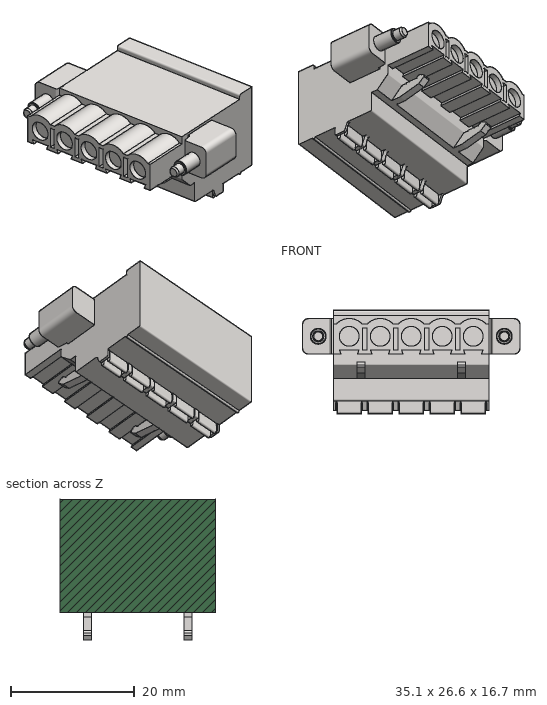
import cadquery as cq


pole_count = 5
overall_width = 35.1
body_width = 25.1
half_body = body_width / 2
ear_reach = (overall_width - body_width) / 2
pole_pitch = ear_reach
screw_offset = (pole_count + 1) / 2 * pole_pitch

housing_back = 18.32
housing_top = 3.35
housing_bottom = -10.45
ridge_top = 4.2
ridge_length = 3.2
ridge_round = 0.35
front_face_bottom = -4.65
shelf_height = -6.8
lower_front = 3.35
front_round = 0.25
bottom_round = 0.28

socket_length = 8.3
socket_radius = 2.88
valley_height = 2.0
contact_hole_diameter = 3.2
contact_hole_depth = 1.0
slot_width = 0.77
slot_top = 1.35
slot_bottom = -2.18
dovetail_top = slot_bottom
dovetail_wide = 3.15
dovetail_narrow = 2.65

ear_length = 7.75
ear_round = 1.0
notch_depth = 1.65
notch_front_gap = 0.6
notch_root_gap = 0.3
notch_mouth_round = 0.2
screw_diameter = 2.55
screw_length = 3.6
screw_chamfer = 0.1
tip_diameter = 1.8
tip_end = 5.35
tip_chamfer_length = 0.35
tip_chamfer_depth = 0.18

hook_width = 1.35
hook_offset = 8.1
hook_root = 2.65
hook_bend = 0.45
hook_relief = -0.75
hook_relief_top = -4.7
hook_arm_top = -4.6
hook_catch_root = -2.88
hook_crest_back = -3.3
hook_crest_front = -3.7
hook_crest = -4.18
hook_nose = -3.37
hook_nose_bottom = -5.9
hook_tip = -4.42
hook_tip_top = -4.65
hook_tip_bottom = -4.95

foot_width = 0.8
foot_bottom = -12.0
foot_back = 10.85
foot_front = 8.3
foot_taper = 0.6
foot_round = 0.25
foot_root_round = 0.35
foot_anchor = 0.7
wall_width = 3.93
wall_thickness = 0.6
wall_bottom = -12.5
wall_center_ys = (9.05, 10.45)
bead_y = 15.15
bead_radius = 0.28

pole_centers = [(i - (pole_count - 1) / 2) * pole_pitch for i in range(pole_count)]
pole_boundaries = [x + pole_pitch / 2 for x in pole_centers[:-1]]


def box(x_range, y_range, z_range):
    """Box spanning the given (min, max) ranges."""
    spans = (x_range, y_range, z_range)
    size = [high - low for low, high in spans]
    return cq.Workplane("XY").box(*size, centered=False).translate([low for low, high in spans])


def extrude_along_x(points, x_min, x_max):
    """Extrude a closed (y, z) outline between two X positions."""
    return cq.Workplane("YZ").workplane(offset=x_min).polyline(points).close().extrude(x_max - x_min)


def cylinder_along_y(x, diameter, y_min, y_max):
    """Cylinder parallel to Y on the contact axis height."""
    plane = cq.Workplane("XZ", origin=(x, y_max, 0))
    return plane.circle(diameter / 2).extrude(y_max - y_min)


def make_housing():
    ridge_front = housing_back - ridge_length
    slope_end = front_face_bottom - shelf_height
    outline = [
        (0, housing_top),
        (ridge_front, housing_top),
        (ridge_front, ridge_top),
        (housing_back, ridge_top),
        (housing_back, housing_bottom),
        (lower_front, housing_bottom),
        (lower_front, shelf_height),
        (slope_end, shelf_height),
        (0, front_face_bottom),
    ]
    housing = extrude_along_x(outline, -half_body, half_body)

    def round_edge(solid, y, z, radius):
        return solid.edges(cq.NearestToPointSelector((0, y, z))).fillet(radius)

    housing = round_edge(housing, ridge_front, ridge_top, ridge_round)
    housing = round_edge(housing, 0, front_face_bottom, front_round)
    housing = round_edge(housing, lower_front, housing_bottom, bottom_round)
    return round_edge(housing, housing_back, housing_bottom, bottom_round)


def make_sockets():
    sockets = box((-half_body, half_body), (-socket_length, 0), (-socket_radius, valley_height))
    envelope = box((-half_body, half_body), (-socket_length, 0), (-socket_radius, socket_radius))
    for x in pole_centers:
        barrel = cylinder_along_y(x, 2 * socket_radius, -socket_length, 0)
        sockets = sockets.union(barrel.intersect(envelope))
    for x in pole_centers:
        hole = cylinder_along_y(x, contact_hole_diameter, -socket_length, contact_hole_depth - socket_length)
        dovetail = (
            cq.Workplane("XZ", origin=(x, 0, 0))
            .polyline([
                (-dovetail_wide / 2, dovetail_top),
                (dovetail_wide / 2, dovetail_top),
                (dovetail_narrow / 2, -socket_radius),
                (-dovetail_narrow / 2, -socket_radius),
            ])
            .close()
            .extrude(socket_length)
        )
        sockets = sockets.cut(hole).cut(dovetail)
    for x in pole_boundaries:
        slot_sides = (x - slot_width / 2, x + slot_width / 2)
        sockets = sockets.cut(box(slot_sides, (-socket_length, 0), (slot_bottom, slot_top)))
    return sockets


def make_right_ear():
    """Ear block with rounded outer edges, a notch beside the housing, and a stepped screw end."""
    half_width = overall_width / 2
    ear = box((half_body, half_width), (0, ear_length), (-socket_radius, socket_radius))
    ear = ear.edges("|Y and >X").fillet(ear_round)
    notch = (
        cq.Workplane("XY", origin=(half_body, 0, -socket_radius))
        .polyline([
            (0, 0),
            (notch_front_gap, 0),
            (notch_root_gap, notch_depth),
            (0, notch_depth),
        ])
        .close()
        .extrude(2 * socket_radius)
    )
    shank = cylinder_along_y(screw_offset, screw_diameter, -screw_length, 0)
    shank = shank.faces("<Y").chamfer(screw_chamfer)
    tip = cylinder_along_y(screw_offset, tip_diameter, -tip_end, 0)
    tip = tip.faces("<Y").chamfer(tip_chamfer_length, tip_chamfer_depth)
    mouth_edge = cq.NearestToPointSelector((half_body + notch_front_gap, 0, 0))
    ear = ear.cut(notch).edges(mouth_edge).fillet(notch_mouth_round)
    return ear.union(shank).union(tip)


def make_hook(x):
    """Latch arm growing from the sloped face, with a raised catch at its end."""
    outline = [
        (hook_root, shelf_height),
        (hook_bend, shelf_height),
        (hook_nose, hook_nose_bottom),
        (hook_tip, hook_tip_bottom),
        (hook_tip, hook_tip_top),
        (hook_crest_front, hook_crest),
        (hook_crest_back, hook_crest),
        (hook_catch_root, hook_arm_top),
        (hook_relief, hook_arm_top),
        (hook_relief, hook_relief_top),
        (hook_root, hook_relief_top),
    ]
    return extrude_along_x(outline, x - hook_width / 2, x + hook_width / 2)


def make_foot(x_min, x_max):
    """Tapered foot with a filleted root, anchored inside the housing."""
    anchor_top = housing_bottom + foot_anchor
    anchor_front = foot_front - foot_anchor
    outline = [
        (foot_back, anchor_top),
        (foot_back, foot_bottom),
        (foot_front + foot_taper, foot_bottom),
        (foot_front, housing_bottom),
        (anchor_front, housing_bottom),
        (anchor_front, anchor_top),
    ]
    foot = extrude_along_x(outline, x_min, x_max)
    foot = foot.edges("|X and <Z").fillet(foot_round)
    root_edge = cq.NearestToPointSelector(((x_min + x_max) / 2, foot_front, housing_bottom))
    return foot.edges(root_edge).fillet(foot_root_round)


def make_clamp_wall(x, y):
    """Thin wall with a fully rounded lower edge."""
    radius = wall_thickness / 2
    return (
        cq.Workplane("YZ", origin=(x - wall_width / 2, 0, 0))
        .moveTo(y - radius, housing_bottom)
        .lineTo(y - radius, wall_bottom + radius)
        .threePointArc((y, wall_bottom), (y + radius, wall_bottom + radius))
        .lineTo(y + radius, housing_bottom)
        .close()
        .extrude(wall_width)
    )


result = make_housing().union(make_sockets())

right_ear = make_right_ear()
result = result.union(right_ear).union(right_ear.mirror("YZ"))

for side in (-1, 1):
    result = result.union(make_hook(side * hook_offset))

for boundary in [-half_body, *pole_boundaries, half_body]:
    foot_min = max(boundary - foot_width / 2, -half_body)
    foot_max = min(boundary + foot_width / 2, half_body)
    result = result.union(make_foot(foot_min, foot_max))

for pole in pole_centers:
    for wall_y in wall_center_ys:
        result = result.union(make_clamp_wall(pole, wall_y))

bead_plane = cq.Workplane("YZ", origin=(-half_body, bead_y, housing_bottom))
result = result.union(bead_plane.circle(bead_radius).extrude(body_width))